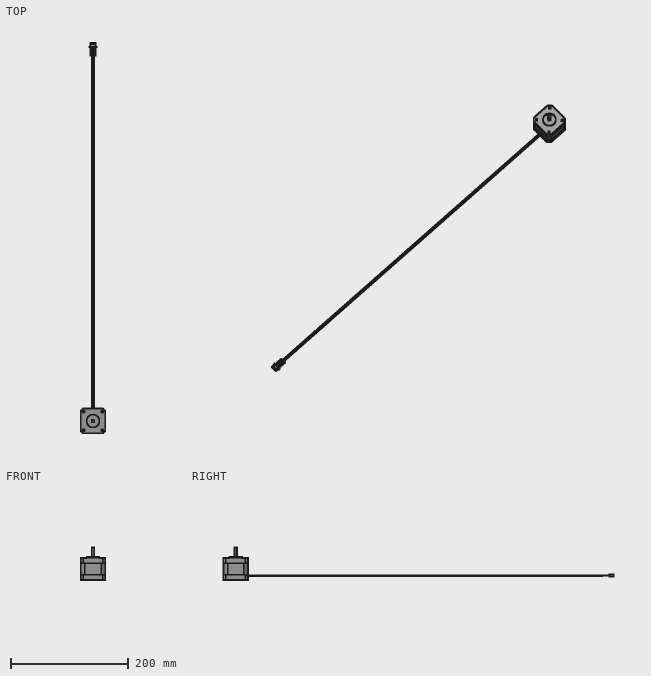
import cadquery as cq

total_length = 665.0
total_height = 56.0

motor_width = 42.5
motor_height = 38.0
cap_height = 9.0
cap_chamfer = 4.5
core_recess = 0.3
core_chamfer = 7.0
pilot_diameter = 22.0
pilot_height = 2.0
shaft_diameter = 5.0
flat_depth = 0.25
flat_clearance = 3.0
screw_spacing = 31.0
screw_diameter = 3.0
screw_depth = 4.5

conductor_count = 2
conductor_diameter = 1.85
conductor_pitch = 1.8
cable_drop = 1.65
plug_width = 10.0
plug_length = 7.0
plug_thickness = 4.0
flange_width = 13.0
flange_length = 0.5
groove_setback = 1.65
groove_width = 0.5
groove_depth = 0.3
wire_count = 4
wire_pitch = 2.8
wire_diameter = 1.0
wire_length = 12.5
joint_length = 2.0

cable_height = cap_height - cable_drop
motor_back = motor_width / 2
plug_front = total_length - motor_width / 2
plug_back = plug_front - plug_length
joint_front = plug_back - wire_length
joint_back = joint_front - joint_length


def square_block(width, bottom, height, chamfer):
    """Square motor section with its upright corners cut off."""
    return (
        cq.Workplane("XY", origin=(0, 0, bottom))
        .rect(width, width)
        .extrude(height)
        .edges("|Z")
        .chamfer(chamfer)
    )


def upright_cylinder(diameter, bottom, top):
    """Round boss on the motor axis."""
    return cq.Workplane("XY", origin=(0, 0, bottom)).circle(diameter / 2).extrude(top - bottom)


def cylinder_along_y(x, diameter, start, end):
    """Round cable or wire at cable height, running from start to end along Y."""
    return (
        cq.Workplane("XZ", origin=(x, start, cable_height))
        .circle(diameter / 2)
        .extrude(start - end)
    )


def box_along_y(width, thickness, start, end):
    """Block centred on the cable line, running from start to end along Y."""
    return (
        cq.Workplane("XY", origin=(0, (start + end) / 2, cable_height))
        .box(width, end - start, thickness)
    )


def flatted_shaft(bottom):
    """Round shaft with a shallow flat on its -X side that stops short of the pilot."""
    shaft = upright_cylinder(shaft_diameter, bottom, total_height)
    flat_bottom = bottom + flat_clearance
    flat_x = flat_depth - shaft_diameter / 2
    flat_cutter = (
        cq.Workplane("XY", origin=(flat_x - shaft_diameter / 2, 0, flat_bottom))
        .rect(shaft_diameter, shaft_diameter)
        .extrude(total_height - flat_bottom)
    )
    return shaft.cut(flat_cutter)


def row_along_y(count, pitch, diameter, start, end):
    """Side-by-side row of round wires, centred on X = 0."""
    row = cq.Workplane("XY")
    for index in range(count):
        x = (index - (count - 1) / 2) * pitch
        row = row.union(cylinder_along_y(x, diameter, start, end))
    return row


def make_motor():
    """Two end caps around a core, with pilot, shaft and four blind screw holes."""
    top_cap_bottom = motor_height - cap_height
    motor = square_block(motor_width, 0, cap_height, cap_chamfer)
    core_width = motor_width - 2 * core_recess
    core_height = top_cap_bottom - cap_height
    motor = motor.union(square_block(core_width, cap_height, core_height, core_chamfer))
    motor = motor.union(square_block(motor_width, top_cap_bottom, cap_height, cap_chamfer))
    pilot_top = motor_height + pilot_height
    motor = motor.union(upright_cylinder(pilot_diameter, motor_height, pilot_top))
    motor = motor.union(flatted_shaft(pilot_top))
    screw_holes = (
        cq.Workplane("XY", origin=(0, 0, motor_height))
        .rect(screw_spacing, screw_spacing, forConstruction=True)
        .vertices()
        .circle(screw_diameter / 2)
        .extrude(-screw_depth)
    )
    return motor.cut(screw_holes)


def plug():
    """Plug housing with a rear flange and a shallow groove across its top near the tip."""
    housing = box_along_y(plug_width, plug_thickness, plug_back, plug_front)
    flange = box_along_y(flange_width, plug_thickness, plug_back, plug_back + flange_length)
    groove_front = plug_front - groove_setback
    groove = box_along_y(plug_width, plug_thickness, groove_front - groove_width, groove_front)
    groove = groove.translate((0, 0, plug_thickness - groove_depth))
    return housing.union(flange).cut(groove)


def make_harness():
    """Two-conductor flat cable, joined to a row of thin wires that enter a flanged plug."""
    joint_width = (wire_count - 1) * wire_pitch + wire_diameter
    harness = row_along_y(
        conductor_count, conductor_pitch, conductor_diameter, motor_back, joint_front
    )
    harness = harness.union(box_along_y(joint_width, wire_diameter, joint_back, joint_front))
    harness = harness.union(
        row_along_y(wire_count, wire_pitch, wire_diameter, joint_front, plug_back)
    )
    return harness.union(plug())


motor = make_motor()
harness = make_harness()

result = cq.Compound.makeCompound([motor.val(), harness.val()])